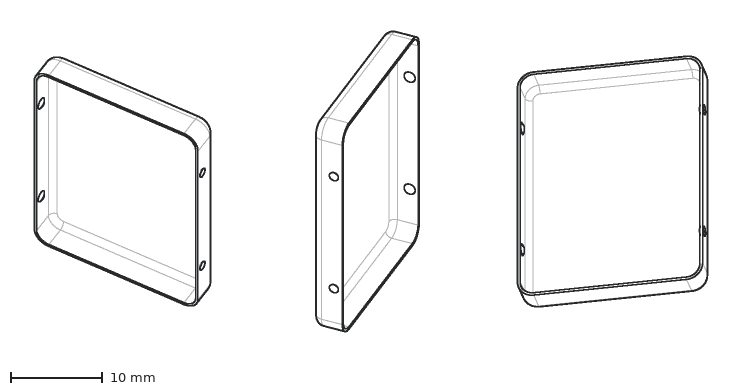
import cadquery as cq

width = 20.6
depth = 3.5
height = 27.6

wall = 0.3
corner_radius = 1.8
back_edge_radius = 1.0

dimple_spacing = 15.0
dimple_from_rim = 1.0
dimple_depth = 0.25
bump_radius = 1.0
dent_radius = bump_radius - wall

rim_y = -depth / 2


def rounded_block(inset):
    """Block with rounded corners and back edge, inset from the outer faces but open at the rim."""
    block = (
        cq.Workplane("XZ", origin=(0, rim_y, 0))
        .rect(width - 2 * inset, height - 2 * inset)
        .extrude(-(depth - inset))
    )
    block = block.edges("|Y").fillet(corner_radius - inset)
    return block.faces(">Y").edges().fillet(back_edge_radius - inset)


def press_dimples(block, inset, ball_radius):
    """Cut the four spherical dimples into the side faces of a block with the given inset."""
    ball_plane = cq.Plane(origin=(0, 0, 0), xDir=(0, 1, 0), normal=(0, 0, 1))
    ball_x = width / 2 - inset - dimple_depth + ball_radius
    for x in (-ball_x, ball_x):
        for z in (-dimple_spacing / 2, dimple_spacing / 2):
            ball = cq.Workplane(ball_plane).sphere(ball_radius)
            block = block.cut(ball.translate((x, rim_y + dimple_from_rim, z)))
    return block


outer_body = press_dimples(rounded_block(0), 0, dent_radius)
cavity = press_dimples(rounded_block(wall), wall, bump_radius)

result = outer_body.cut(cavity)